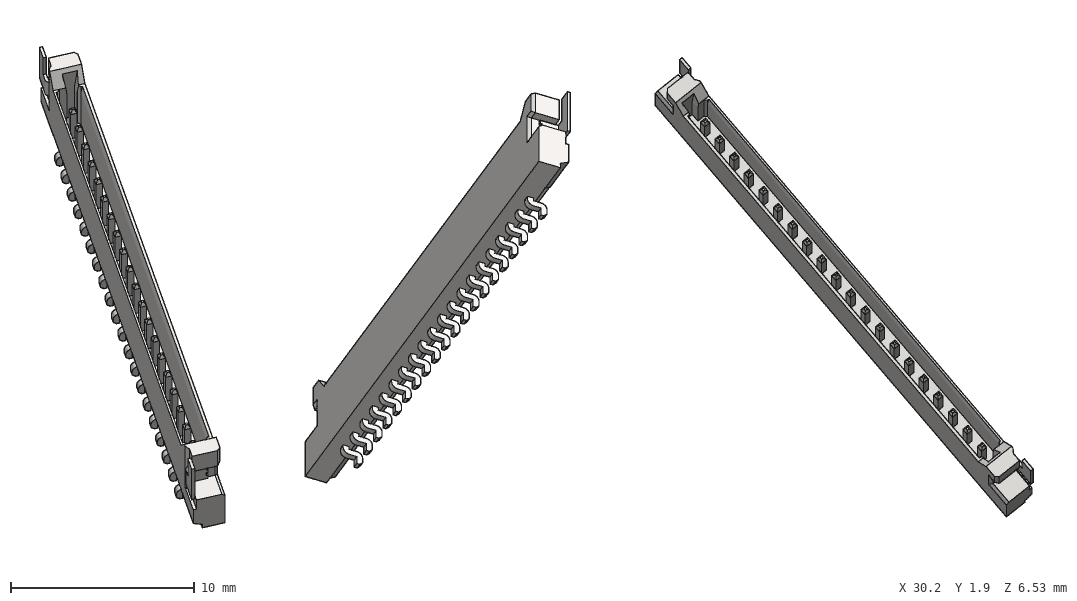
import cadquery as cq
import math


LENGTH = 30.15
END_X = LENGTH / 2
HOUSING_DEPTH = 1.8
HOUSING_HEIGHT = 5.5
WALL_TOP_Z = 4.58
SLOPE_BOTTOM_X = 12.65
SLOPE_TOP_X = 13.33

STEP_DEPTH = 1.3
STEP_Z = 0.3
STEP_END_Z = 0.57
STEP_MIDDLE_DEPTH = 1.45
STEP_MIDDLE_Z = 0.63

POCKET_FLOOR_Z = 1.2
POCKET_BACK = 0.27
POCKET_FRONT = 1.6
POCKET_CORNER = 0.15
LEAD_IN = 0.1
LEAD_IN_Z = 4.1

SLOT_END_X = 13.15
SLOT_BACK = 0.45
SLOT_FRONT = 1.03
SLOT_MOUTH_FRONT = 1.18
SLOT_TAPER_Z = 3.92

RECESS_FLOOR_DEPTH = 1.63
RECESS_BOTTOM_Z = 1.8
RECESS_FLOOR_X = 13.72
RECESS_EDGE_X = 13.45
NOTCH_BOTTOM_Z = 2.62
NOTCH_STEP_Z = 4.1
UPPER_END_X = 14.23
NOTCH_CHAMFER = 0.18

SHEET = 0.18
ANCHOR_FRONT = 1.9
ANCHOR_BOTTOM_Z = 2.75
ANCHOR_SHOULDER_Z = 3.98
ANCHOR_UPPER_X = 14.32
ANCHOR_BEND_RADIUS = 0.25
ANCHOR_TINE_BACK = 0.63
BARB_GAP = 0.1
BARB_HEIGHT = 0.25
BARB_CENTRES_Z = (3.15, 3.65)

PIN_COUNT = 20
PIN_PITCH = 1.25
PIN_SIZE = 0.35
PIN_DEPTH = 0.9
PIN_SHOULDER_Z = 3.38
PIN_TIP_INSET = 0.12
PIN_TIP_LENGTH = 0.25
TAIL_TOP_Z = -0.18
TAIL_BOTTOM_Z = -1.03
TAIL_FRONT = 1.9
TAIL_TIP_CHAMFER = 0.18
TAIL_BEND_RADIUS = PIN_SIZE


def box(x_range, depth_range, z_range):
    """Box between two X, two depth and two Z values."""
    size_x = x_range[1] - x_range[0]
    size_y = depth_range[1] - depth_range[0]
    size_z = z_range[1] - z_range[0]
    corner = (x_range[0], -depth_range[1], z_range[0])
    return cq.Workplane("XY").box(size_x, size_y, size_z, centered=False).translate(corner)


def prism_along_x(points, x_start, x_end):
    """Extrude a (depth, z) outline between two X values."""
    outline = [(-depth, z) for depth, z in points]
    plane = cq.Workplane("YZ", origin=(x_start, 0, 0))
    return plane.polyline(outline).close().extrude(x_end - x_start)


def prism_along_z(points, z_start, z_end):
    """Extrude an (x, depth) outline between two Z values."""
    outline = [(x, -depth) for x, depth in points]
    plane = cq.Workplane("XY", origin=(0, 0, z_start))
    return plane.polyline(outline).close().extrude(z_end - z_start)


def both_ends(solid):
    """The solid at the +X end together with its mirror image at the -X end."""
    return solid.union(solid.mirror("YZ"))


def housing_block():
    """Plain housing, taller at its two ends, with the stepped front underside."""
    outline = [
        (-END_X, 0), (END_X, 0),
        (END_X, HOUSING_HEIGHT), (SLOPE_TOP_X, HOUSING_HEIGHT),
        (SLOPE_BOTTOM_X, WALL_TOP_Z), (-SLOPE_BOTTOM_X, WALL_TOP_Z),
        (-SLOPE_TOP_X, HOUSING_HEIGHT), (-END_X, HOUSING_HEIGHT),
    ]
    block = cq.Workplane("XZ").polyline(outline).close().extrude(HOUSING_DEPTH)
    end_step = [
        (STEP_DEPTH, 0), (STEP_DEPTH, STEP_Z),
        (HOUSING_DEPTH, STEP_END_Z), (HOUSING_DEPTH, 0),
    ]
    middle_step = [
        (STEP_DEPTH, STEP_Z), (STEP_MIDDLE_DEPTH, STEP_MIDDLE_Z),
        (HOUSING_DEPTH, STEP_MIDDLE_Z), (HOUSING_DEPTH, STEP_Z),
    ]
    block = block.cut(prism_along_x(end_step, -END_X, END_X))
    return block.cut(prism_along_x(middle_step, -SLOPE_BOTTOM_X, SLOPE_BOTTOM_X))


def plug_pocket():
    """Pocket with chamfered corners, flared front and back rims and keying slots."""
    pocket = box(
        (-SLOPE_BOTTOM_X, SLOPE_BOTTOM_X),
        (POCKET_BACK, POCKET_FRONT),
        (POCKET_FLOOR_Z, HOUSING_HEIGHT),
    ).edges("|Z").chamfer(POCKET_CORNER)
    flare = [
        (POCKET_BACK, LEAD_IN_Z), (POCKET_FRONT, LEAD_IN_Z),
        (POCKET_FRONT + LEAD_IN, WALL_TOP_Z), (POCKET_BACK - LEAD_IN, WALL_TOP_Z),
    ]
    flare_end_x = SLOPE_BOTTOM_X - POCKET_CORNER
    slot = [
        (SLOT_BACK, POCKET_FLOOR_Z), (SLOT_FRONT, POCKET_FLOOR_Z),
        (SLOT_FRONT, SLOT_TAPER_Z), (SLOT_MOUTH_FRONT, HOUSING_HEIGHT),
        (POCKET_BACK, HOUSING_HEIGHT), (SLOT_BACK, SLOT_TAPER_Z),
    ]
    pocket = pocket.union(prism_along_x(flare, -flare_end_x, flare_end_x))
    return pocket.union(prism_along_x(slot, -SLOT_END_X, SLOT_END_X))


def anchor_recess():
    """Shallow front recess with a slanted inner side, at the +X end."""
    outline = [
        (END_X, RECESS_FLOOR_DEPTH), (RECESS_FLOOR_X, RECESS_FLOOR_DEPTH),
        (RECESS_EDGE_X, HOUSING_DEPTH), (END_X, HOUSING_DEPTH),
    ]
    return prism_along_z(outline, RECESS_BOTTOM_Z, HOUSING_HEIGHT)


def anchor_notch():
    """Stepped notch through the +X end, flared where it leaves the housing back."""
    def outline(offset):
        return [
            (END_X, NOTCH_BOTTOM_Z - offset), (RECESS_FLOOR_X - offset, NOTCH_BOTTOM_Z - offset),
            (RECESS_FLOOR_X - offset, NOTCH_STEP_Z + offset),
            (UPPER_END_X - offset, NOTCH_STEP_Z + offset),
            (UPPER_END_X - offset, HOUSING_HEIGHT), (END_X, HOUSING_HEIGHT),
        ]

    straight = cq.Workplane("XZ").polyline(outline(0)).close().extrude(HOUSING_DEPTH)
    flare = (
        cq.Workplane("XZ").polyline(outline(NOTCH_CHAMFER)).close()
        .workplane(offset=NOTCH_CHAMFER).polyline(outline(0)).close()
        .loft(ruled=True)
    )
    return straight.union(flare)


def anchor():
    """Sheet metal anchor at the +X end: front plate with a tine bent into the notch."""
    plate_back = ANCHOR_FRONT - SHEET
    upper = box(
        (ANCHOR_UPPER_X, END_X), (plate_back, ANCHOR_FRONT), (ANCHOR_BOTTOM_Z, HOUSING_HEIGHT)
    )
    z_range = (ANCHOR_BOTTOM_Z, ANCHOR_SHOULDER_Z)
    lower = box((RECESS_FLOOR_X, END_X), (ANCHOR_TINE_BACK, ANCHOR_FRONT), z_range)
    inside = box((RECESS_FLOOR_X + SHEET, END_X), (ANCHOR_TINE_BACK, plate_back), z_range)
    lower = lower.edges("|Z and <X and <Y").fillet(ANCHOR_BEND_RADIUS).cut(inside)
    for centre_z in BARB_CENTRES_Z:
        lower = lower.cut(box(
            (RECESS_FLOOR_X, RECESS_FLOOR_X + SHEET),
            (ANCHOR_TINE_BACK, ANCHOR_TINE_BACK + BARB_GAP),
            (centre_z - BARB_HEIGHT / 2, centre_z + BARB_HEIGHT / 2),
        ))
    return upper.union(lower)


def pin():
    """Square pin centred on X = 0 whose tail bends forward and then down, with a tapered tip."""
    back = -(PIN_DEPTH - PIN_SIZE / 2)
    front = -(PIN_DEPTH + PIN_SIZE / 2)
    tail_under_z = TAIL_TOP_Z - PIN_SIZE
    tail_front = -TAIL_FRONT
    tail_back = tail_front + PIN_SIZE
    radius = TAIL_BEND_RADIUS
    to_mid = radius * (1 - math.sqrt(0.5))
    profile = (
        cq.Workplane("YZ", origin=(-PIN_SIZE / 2, 0, 0))
        .moveTo(back, PIN_SHOULDER_Z)
        .lineTo(back, tail_under_z + radius)
        .threePointArc((back - to_mid, tail_under_z + to_mid), (back - radius, tail_under_z))
        .lineTo(tail_back, tail_under_z)
        .lineTo(tail_back, TAIL_BOTTOM_Z)
        .lineTo(tail_front + TAIL_TIP_CHAMFER, TAIL_BOTTOM_Z)
        .lineTo(tail_front, TAIL_BOTTOM_Z + TAIL_TIP_CHAMFER)
        .lineTo(tail_front, TAIL_TOP_Z - radius)
        .threePointArc((tail_front + to_mid, TAIL_TOP_Z - to_mid), (tail_front + radius, TAIL_TOP_Z))
        .lineTo(front, TAIL_TOP_Z)
        .lineTo(front, PIN_SHOULDER_Z)
        .close()
    )
    tip_size = PIN_SIZE - 2 * PIN_TIP_INSET
    tip = (
        cq.Workplane("XY", origin=(0, -PIN_DEPTH, PIN_SHOULDER_Z)).rect(PIN_SIZE, PIN_SIZE)
        .workplane(offset=PIN_TIP_LENGTH).rect(tip_size, tip_size)
        .loft(ruled=True)
    )
    return profile.extrude(PIN_SIZE).union(tip)


result = housing_block().cut(plug_pocket())
result = result.cut(both_ends(anchor_recess().union(anchor_notch())))
result = result.union(both_ends(anchor()))

single_pin = pin()
for index in range(PIN_COUNT):
    pin_x = (index - (PIN_COUNT - 1) / 2) * PIN_PITCH
    result = result.union(single_pin.translate((pin_x, 0, 0)))